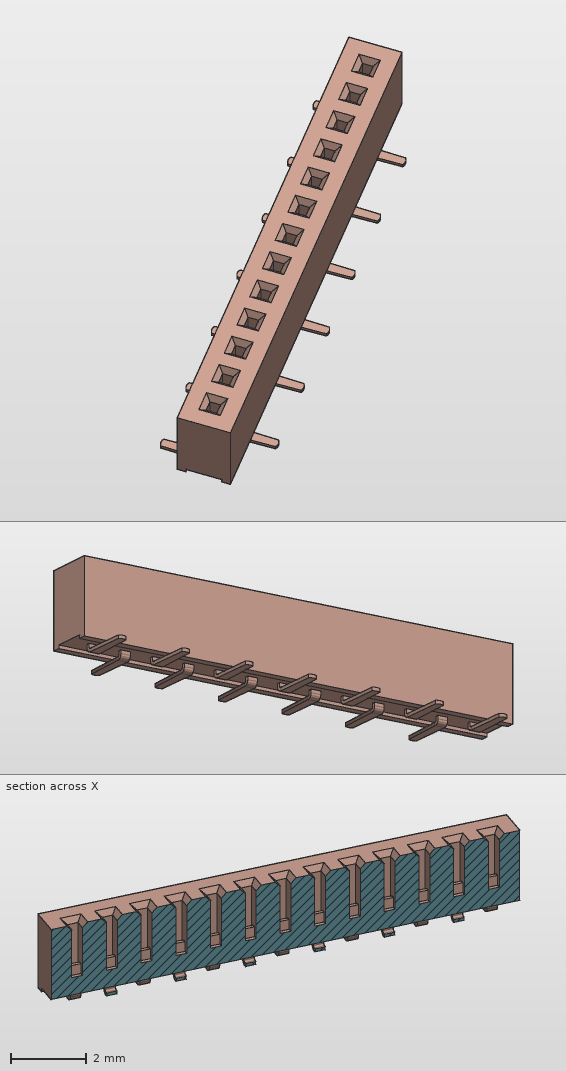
import cadquery as cq


PIN_COUNT = 13
PITCH = 1.0
TAIL_SPAN = 2.95
SHEET_THICKNESS = 0.1
ROOT_WIDTH = 0.3
TIP_WIDTH = 0.24
TIP_BULGE = 0.04
INNER_BEND_RADIUS = 0.05
BLADE_RISE = 0.3

OVERALL_HEIGHT = 2.4
STANDOFF = 0.15
HOUSING_WIDTH = 1.5
HOUSING_LENGTH = 13.5
FOOT_WIDTH = 0.25
FOOT_HEIGHT = 0.1

MOUTH_SIZE = 0.6
SOCKET_SIZE = 0.3
FUNNEL_DEPTH = 0.15
SOCKET_DEPTH = 1.6

TAIL_REACH = TAIL_SPAN / 2
OUTER_BEND_RADIUS = INNER_BEND_RADIUS + SHEET_THICKNESS
SOCKET_FLOOR = OVERALL_HEIGHT - SOCKET_DEPTH
BLADE_TOP = SOCKET_FLOOR + BLADE_RISE
PIN_POSITIONS = [(index - (PIN_COUNT - 1) / 2) * PITCH for index in range(PIN_COUNT)]


def make_housing():
    """Rectangular bar with a full-length channel underneath, leaving two feet."""
    bar = cq.Workplane("XY").workplane(offset=STANDOFF).rect(HOUSING_WIDTH, HOUSING_LENGTH)
    bar = bar.extrude(OVERALL_HEIGHT - STANDOFF)
    channel = cq.Workplane("XY").workplane(offset=STANDOFF)
    channel = channel.rect(HOUSING_WIDTH - 2 * FOOT_WIDTH, HOUSING_LENGTH).extrude(FOOT_HEIGHT)
    return bar.cut(channel)


def make_socket():
    """Square blind socket with a tapered lead-in, centred on the Z axis."""
    shaft = cq.Workplane("XY").workplane(offset=SOCKET_FLOOR)
    shaft = shaft.rect(SOCKET_SIZE, SOCKET_SIZE).extrude(SOCKET_DEPTH)
    funnel = cq.Workplane("XY").workplane(offset=OVERALL_HEIGHT - FUNNEL_DEPTH)
    funnel = funnel.rect(SOCKET_SIZE, SOCKET_SIZE).workplane(offset=FUNNEL_DEPTH)
    funnel = funnel.rect(MOUTH_SIZE, MOUTH_SIZE).loft(ruled=True)
    return shaft.union(funnel)


def make_contact():
    """Bent strip: a vertical blade on the Z axis and a tapered tail running to -X."""
    blade_face = SHEET_THICKNESS / 2
    bend_center_x = blade_face - OUTER_BEND_RADIUS
    strip = (
        cq.Workplane("XZ")
        .moveTo(-TAIL_REACH, 0)
        .lineTo(bend_center_x, 0)
        .radiusArc((blade_face, OUTER_BEND_RADIUS), -OUTER_BEND_RADIUS)
        .lineTo(blade_face, BLADE_TOP)
        .lineTo(-blade_face, BLADE_TOP)
        .lineTo(-blade_face, OUTER_BEND_RADIUS)
        .radiusArc((bend_center_x, SHEET_THICKNESS), INNER_BEND_RADIUS)
        .lineTo(-TAIL_REACH, SHEET_THICKNESS)
        .close()
        .extrude(ROOT_WIDTH / 2, both=True)
    )
    tip_start = -TAIL_REACH + TIP_BULGE
    plan = (
        cq.Workplane("XY")
        .moveTo(blade_face, -ROOT_WIDTH / 2)
        .lineTo(bend_center_x, -ROOT_WIDTH / 2)
        .lineTo(tip_start, -TIP_WIDTH / 2)
        .threePointArc((-TAIL_REACH, 0), (tip_start, TIP_WIDTH / 2))
        .lineTo(bend_center_x, ROOT_WIDTH / 2)
        .lineTo(blade_face, ROOT_WIDTH / 2)
        .close()
        .extrude(BLADE_TOP)
    )
    return strip.intersect(plan)


def build_part():
    part = make_housing()
    socket = make_socket()
    contact = make_contact()
    for index, y in enumerate(PIN_POSITIONS):
        turn = 180 * (index % 2)
        placed_contact = contact.rotate((0, 0, 0), (0, 0, 1), turn).translate((0, y, 0))
        part = part.cut(socket.translate((0, y, 0))).union(placed_contact)
    return part


result = build_part()